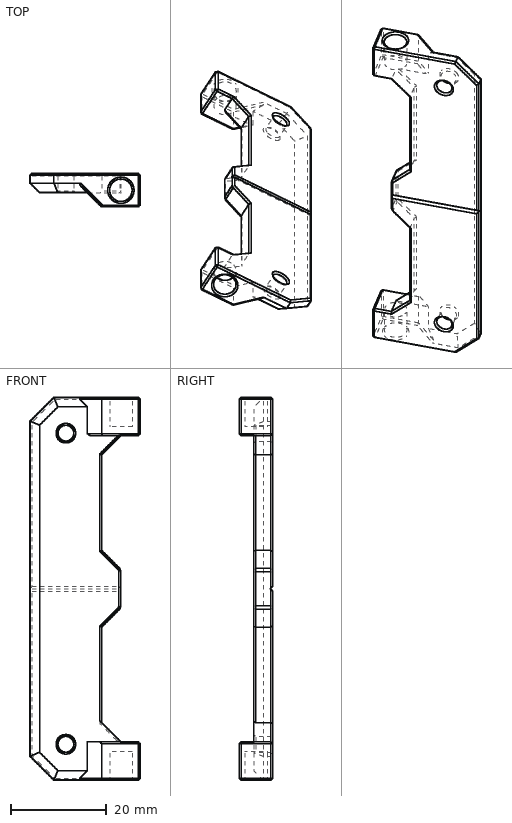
import cadquery as cq


width = 23.0
depth = 7.0
length = 80.0
half_length = length / 2

plate_thickness = 4.0
waist_x = 15.0
corner_cut = 5.0
front_bevel = 2.0
edge_chamfer = 0.4

block_height = 8.0
block_inner_z = half_length - block_height
ramp_foot_x = 12.0

flank = 4.0
tab_half_length = 4.0
tab_x = waist_x + flank

screw_diameter = 3.3
screw_inset = 7.5

socket_diameter = 4.7
socket_depth = 6.0
socket_x = 19.0
socket_y = -depth / 2

groove_depth = 0.5

tolerance = 1e-6


def make_plate():
    """Flat plate with a wide bevel on the outer side and small chamfers elsewhere.

    The front edge of the lower shoulder is left sharp.
    """
    lower_shoulder_z = -block_inner_z + flank
    lower_inner_edge = [
        (tab_x, -half_length),
        (tab_x, -block_inner_z),
        (waist_x, lower_shoulder_z),
        (waist_x, -tab_half_length - flank),
        (tab_x, -tab_half_length),
    ]
    upper_inner_edge = [(x, -z) for x, z in reversed(lower_inner_edge)]
    outer_edge = [
        (corner_cut, half_length),
        (0, half_length - corner_cut),
        (0, -half_length + corner_cut),
        (corner_cut, -half_length),
    ]
    outline = lower_inner_edge + upper_inner_edge + outer_edge
    plate = cq.Workplane("XZ").polyline(outline).close().extrude(plate_thickness)

    front_edges = plate.faces("<Y").edges().vals()
    outer_front = [edge for edge in front_edges if edge.Center().x < waist_x]
    inner_front = [
        edge for edge in front_edges
        if edge.Center().x >= waist_x and lower_shoulder_z < edge.Center().z < block_inner_z
    ]
    plate = plate.newObject(outer_front).chamfer(front_bevel)

    tab_corners = [
        edge for edge in plate.edges("|Y and >X").vals()
        if abs(edge.Center().z) < block_inner_z
    ]
    back_edges = [
        edge for edge in plate.faces(">Y").edges().vals()
        if edge.Center().x < tab_x - tolerance or abs(edge.Center().z) < block_inner_z
    ]
    return plate.newObject(inner_front + tab_corners + back_edges).chamfer(edge_chamfer)


def make_block(ramp_inner_edge_chamfered):
    """Block at the +Z end, rising from the plate along a 45 degree ramp."""
    ramp_start_x = ramp_foot_x - front_bevel
    ramp_start_y = front_bevel - plate_thickness
    ramp_end_x = ramp_foot_x + depth - plate_thickness
    profile = [
        (ramp_start_x, 0),
        (ramp_start_x, ramp_start_y),
        (ramp_end_x, -depth),
        (width, -depth),
        (width, 0),
    ]
    block = (
        cq.Workplane("XY", origin=(0, 0, block_inner_z))
        .polyline(profile).close().extrude(block_height)
    )
    ramp_middle_x = (ramp_start_x + ramp_end_x) / 2
    chamfered_edges = block.faces(">Z").edges("not <X").vals()
    chamfered_edges += block.edges("|Z and >X").vals()
    for edge in block.faces("<Z").edges("not <X").vals():
        on_ramp = abs(edge.Center().x - ramp_middle_x) < tolerance
        if ramp_inner_edge_chamfered or not on_ramp:
            chamfered_edges.append(edge)
    return block.newObject(chamfered_edges).chamfer(edge_chamfer)


def make_screw_hole(z):
    """Through hole along Y, countersunk on both faces of the plate."""
    radius = screw_diameter / 2
    rim = radius + edge_chamfer
    profile = [
        (0, 0),
        (rim, 0),
        (radius, edge_chamfer),
        (radius, plate_thickness - edge_chamfer),
        (rim, plate_thickness),
        (0, plate_thickness),
    ]
    return (
        cq.Workplane("XY").polyline(profile).close()
        .revolve(360, (0, 0), (0, 1))
        .translate((screw_inset, -plate_thickness, z))
    )


def make_upper_socket():
    """Blind hole with a chamfered mouth in the +Z end face."""
    radius = socket_diameter / 2
    profile = [
        (0, 0),
        (radius + edge_chamfer, 0),
        (radius, -edge_chamfer),
        (radius, -socket_depth),
        (0, -socket_depth),
    ]
    return (
        cq.Workplane("XZ").polyline(profile).close()
        .revolve(360, (0, 0), (0, 1))
        .translate((socket_x, socket_y, half_length))
    )


def make_back_groove():
    """90 degree V-groove along X in the middle of the back face."""
    profile = [(0, -groove_depth), (-groove_depth, 0), (0, groove_depth)]
    return cq.Workplane("YZ").polyline(profile).close().extrude(width)


upper_block = make_block(ramp_inner_edge_chamfered=True)
lower_block = make_block(ramp_inner_edge_chamfered=False).mirror("XY")
upper_socket = make_upper_socket()
screw_z = half_length - screw_inset

body = make_plate().union(upper_block).union(lower_block)
body = body.cut(upper_socket).cut(upper_socket.mirror("XY"))
for hole_z in (-screw_z, screw_z):
    body = body.cut(make_screw_hole(hole_z))
body = body.cut(make_back_groove())

result = body.solids()